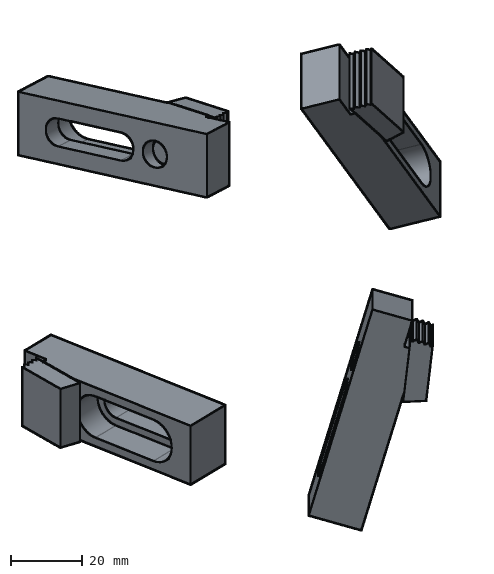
import cadquery as cq
import math

body_length = 63.5
body_depth = 15.5
body_height = 19.05
nose_depth = 11.7
seat_start_x = 42.7
seat_end_x = 55.5
seat_angle = 10.0
nose_fillet = 0.3
mid_z = body_height / 2
seat_slope = math.tan(math.radians(seat_angle))

slot_left_x = 9.35
slot_right_x = 38.8
slot_width = 8.4
slot_recess_width = 13.35
slot_recess_floor_y = 6.4
slot_center_x = (slot_left_x + slot_right_x) / 2
slot_length = slot_right_x - slot_left_x

pin_diameter = 8.0
pin_mouth_x = 46.05
pin_recess = 3.05
pin_chamfer = 0.45

jaw_height = 19.05
jaw_drop = 0.1
jaw_tail_x = 39.75
jaw_top_x = 41.9
jaw_top_y = 22.15
jaw_tip_x = 58.6
tooth_pitch = 1.745
tooth_depth = tooth_pitch / 2
tooth_count = 4


def seat_y(x):
    """Y of the sloped seat plane at a given X."""
    return body_depth - (x - seat_start_x) * seat_slope


def jaw_top_edge_y(x):
    """Y of the jaw's outer face, parallel to the seat."""
    return jaw_top_y - (x - jaw_top_x) * seat_slope


def slot_cutter(length, width, start_y):
    """Round-ended slot running from start_y through the back of the body."""
    return (
        cq.Workplane("XZ", origin=(slot_center_x, start_y, mid_z))
        .slot2D(length, width)
        .extrude(start_y - body_depth)
    )


def pin_cylinder(start, end):
    """Cylinder on the pin axis between two distances from the front mouth."""
    angle = math.radians(seat_angle)
    axis = cq.Vector(math.sin(angle), math.cos(angle), 0)
    origin = cq.Vector(pin_mouth_x, 0, mid_z) + axis * start
    plane = cq.Plane(origin=origin, xDir=(0, 0, 1), normal=axis)
    return cq.Workplane(plane).circle(pin_diameter / 2).extrude(end - start)


def pin_seat_distance():
    """Distance along the pin axis from the front mouth to the seat plane."""
    return seat_y(pin_mouth_x) * math.cos(math.radians(seat_angle))


def make_body():
    bar = (
        cq.Workplane("XY")
        .moveTo(0, 0)
        .lineTo(body_length, 0)
        .lineTo(body_length, nose_depth)
        .lineTo(seat_end_x, nose_depth)
        .lineTo(seat_end_x, seat_y(seat_end_x))
        .lineTo(seat_start_x, body_depth)
        .lineTo(0, body_depth)
        .close()
        .extrude(body_height)
    )
    nose_corner = cq.selectors.NearestToPointSelector((seat_end_x, nose_depth, mid_z))
    bar = bar.edges("|Z").edges(nose_corner).fillet(nose_fillet)

    bar = bar.cut(slot_cutter(slot_length, slot_width, 0))
    recess_length = slot_length + slot_recess_width - slot_width
    bar = bar.cut(slot_cutter(recess_length, slot_recess_width, slot_recess_floor_y))

    return bar.cut(pin_cylinder(-pin_diameter, pin_seat_distance()))


def make_pin():
    return pin_cylinder(pin_recess, pin_seat_distance()).faces("<Y").chamfer(pin_chamfer)


def make_jaw():
    tip_y = seat_y(jaw_tip_x)
    valley_x = jaw_tip_x - tooth_depth
    outline = [(jaw_tail_x, seat_y(jaw_tail_x))]
    for tooth in range(tooth_count):
        tooth_y = tip_y + tooth * tooth_pitch
        outline.append((jaw_tip_x, tooth_y))
        outline.append((valley_x, tooth_y + tooth_pitch / 2))

    last_valley_y = outline[-1][1]
    flank_run = (jaw_top_edge_y(valley_x) - last_valley_y) / (1 + seat_slope)
    outline.append((valley_x + flank_run, last_valley_y + flank_run))
    outline.append((jaw_top_x, jaw_top_y))
    return (
        cq.Workplane("XY", origin=(0, 0, -jaw_drop))
        .polyline(outline)
        .close()
        .extrude(jaw_height)
    )


body = make_body()
pin = make_pin()
jaw = make_jaw()

result = cq.Compound.makeCompound([body.val(), pin.val(), jaw.val()])